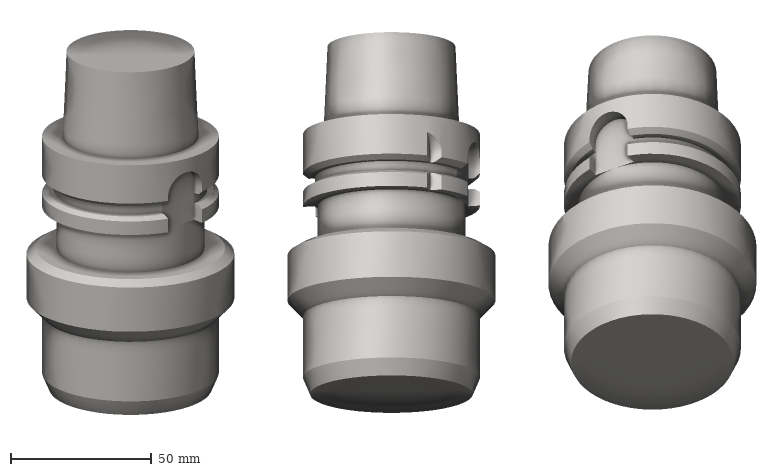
import cadquery as cq

shank_top_dia = 45.6
shank_base_dia = 48.5
flange_dia = 63.0
flange_lip_dia = 58.9
groove_dia = 54.6
neck_dia = 52.6
collar_dia = 74.0
collar_top_dia = 67.3
foot_dia = 57.9

total_height = 127.0
flange_top = 95.0
flange_edge = 80.5
groove_top = 78.9
groove_bottom = 74.9
rim_edge = 73.8
rim_bottom = 68.7
collar_top = 52.8
collar_edge = 50.8
collar_bottom = 34.2
base_top = 28.5
foot_edge = 6.0

slot_width = 15.7
slot_top = 89.9
drive_slot_floor = neck_dia / 2
notch_center_y = 27.7
notch_floor = 20.3


def turned_body():
    """Revolve the half profile of the holder about Z."""
    stations = [
        (foot_dia, 0),
        (flange_dia, foot_edge),
        (flange_dia, base_top),
        (collar_dia, collar_bottom),
        (collar_dia, collar_edge),
        (collar_top_dia, collar_top),
        (neck_dia, collar_top),
        (neck_dia, rim_bottom),
        (flange_dia, rim_bottom),
        (flange_dia, rim_edge),
        (flange_lip_dia, groove_bottom),
        (groove_dia, groove_bottom),
        (groove_dia, groove_top),
        (flange_lip_dia, groove_top),
        (flange_dia, flange_edge),
        (flange_dia, flange_top),
        (shank_base_dia, flange_top),
        (shank_top_dia, total_height),
    ]
    profile = [(0, 0)]
    profile += [(diameter / 2, height) for diameter, height in stations]
    profile += [(0, total_height)]
    return cq.Workplane("XZ").polyline(profile).close().revolve(360, (0, 0), (0, 1))


def slot_cutter(side, center_y, floor):
    """Slot open at the rim bottom, cut along X from outside to a flat floor at side * floor."""
    radius = slot_width / 2
    spring = slot_top - radius
    return (
        cq.Workplane("YZ", origin=(side * floor, 0, 0))
        .moveTo(center_y - radius, rim_bottom)
        .lineTo(center_y - radius, spring)
        .threePointArc((center_y, slot_top), (center_y + radius, spring))
        .lineTo(center_y + radius, rim_bottom)
        .close()
        .extrude(side * (collar_dia / 2 - floor))
    )


result = turned_body()

for side in (-1, 1):
    result = result.cut(slot_cutter(side, 0, drive_slot_floor))

result = result.cut(slot_cutter(-1, notch_center_y, notch_floor))